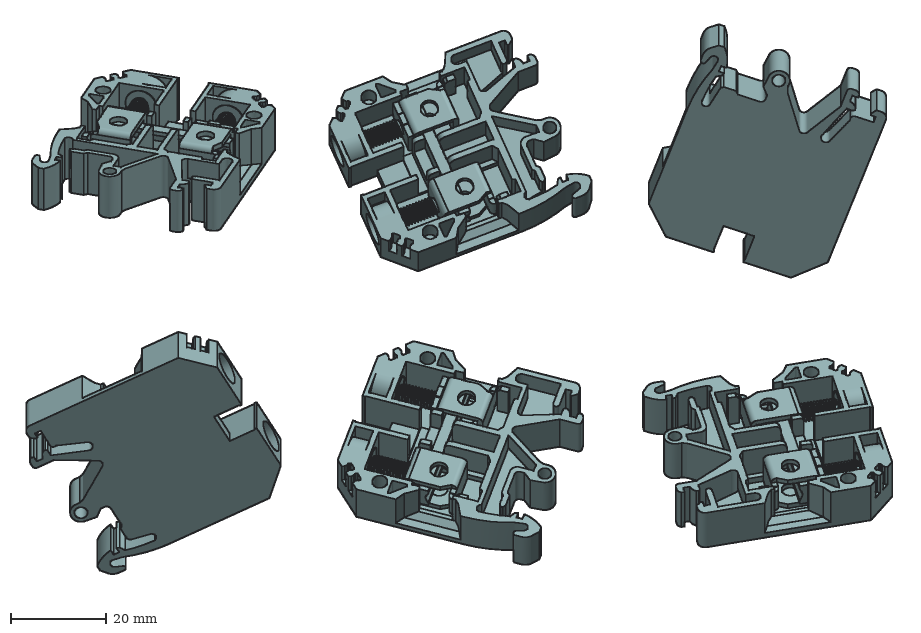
import cadquery as cq


height = 46.02
thickness = 10.0
half_width = 20.05
axis_x = 9.67
axis_z = 5.5

bar_half_length = 14.7
bar_bottom_y = 25.88
bar_top_y = 28.3
bar_half_depth = 2.59
groove_depth = 0.65
groove_half_width = 1.65

sheet = 1.2
bend_radius = 1.25
clamp_bottom_y = 20.15
clamp_top_y = 31.6
clamp_half_depth = 4.06
clamp_inner_x = 5.41
clamp_outer_x = 13.89
clamp_narrow_x = 12.67
clamp_taper_y = 23.5
clamp_seam_y = clamp_top_y - sheet
ear_x = 15.3
ear_round = 1.1
ear_step = 0.2
outer_lap_z = 9.1
tab_width = 2.6
tab_rise = 0.4
inspection_radius = 1.85
inspection_y = 25.04

thread_radius = 2.0
core_radius = 1.6
pitch = 0.7
head_radius = 3.45
head_length = 3.0
head_stand_out = 0.12

floor_z = axis_z - clamp_half_depth
shelf_z = axis_z - bar_half_depth
strip_z = 2.2
foot_web_z = 5.35
gap_half_width = 3.46
gap_floor_y = 39.5
tower_wall_x = 4.6
post_back_y = 31.1
tower_wall_end_y = 33.5
pocket_top_y = 39.93
pocket_side_x = 14.54
wide_pocket_x = 15.38
wide_pocket_top_y = 29.3
pocket_bottom_y = 15.35
pocket_step_y = 14.67
partition_inner_x = 2.2
corner_cut = 6.05


def box(x0, x1, y0, y1, z0, z1):
    return cq.Workplane("XY").box(x1 - x0, y1 - y0, z1 - z0, centered=False).translate((x0, y0, z0))


def prism(points, z0, z1):
    return cq.Workplane("XY").workplane(offset=z0).polyline(points).close().extrude(z1 - z0)


def prism_along_x(points_yz, x0, x1):
    return cq.Workplane("YZ").workplane(offset=x0).polyline(points_yz).close().extrude(x1 - x0)


def cylinder_along_y(radius, x, y0, y1):
    return cq.Workplane("XZ", origin=(x, y0, axis_z)).circle(radius).extrude(y0 - y1)


def both_sides(shape):
    return shape.union(shape.mirror("YZ"))


def housing_blank():
    shoulder_y = height - corner_cut
    shoulder_x = half_width - corner_cut
    eyelet_x, eyelet_y = -4.3, 3.44
    eyelet_radius = 2.32
    hook_x = -21.35
    lip_overhang = 0.16
    lip_slope = 0.12
    lip_x = gap_half_width - lip_overhang
    lip_y = height - 0.5
    outline = (
        cq.Workplane("XY")
        .moveTo(-half_width, shoulder_y)
        .lineTo(-shoulder_x, height)
        .lineTo(-lip_x, height)
        .lineTo(-lip_x, lip_y)
        .lineTo(-gap_half_width, lip_y - lip_slope)
        .lineTo(-gap_half_width, gap_floor_y)
        .lineTo(gap_half_width, gap_floor_y)
        .lineTo(gap_half_width, lip_y - lip_slope)
        .lineTo(lip_x, lip_y)
        .lineTo(lip_x, height)
        .lineTo(shoulder_x, height)
        .lineTo(half_width, shoulder_y)
        .lineTo(half_width, 4.5)
        .threePointArc((19.59, 3.36), (18.45, 2.9))
        .lineTo(17.4, 2.9)
        .lineTo(16.5, 4.1)
        .lineTo(16.65, 4.44)
        .lineTo(17.79, 4.44)
        .lineTo(17.79, 5.79)
        .lineTo(13.54, 5.79)
        .threePointArc((12.97, 6.2), (12.98, 6.9))
        .lineTo(10.6, 13.1)
        .threePointArc((9.3, 13.65), (8.6, 12.5))
        .lineTo(11.37, 4.75)
        .lineTo(12.75, 4.75)
        .lineTo(13.13, 4.4)
        .lineTo(13.05, 3.85)
        .threePointArc((12.35, 3.2), (11.45, 2.9))
        .lineTo(11.45, 1.44)
        .lineTo(12.75, 1.44)
        .lineTo(12.78, 0.75)
        .threePointArc((12.29, 0.21), (11.6, 0.0))
        .lineTo(10.8, 0.0)
        .threePointArc((10.23, 0.23), (10.0, 0.8))
        .lineTo(10.0, 4.66)
        .lineTo(5.5, 12.78)
        .threePointArc((4.6, 13.33), (3.65, 12.78))
        .lineTo(-1.62, 5.41)
        .lineTo(-1.98, 4.4)
        .lineTo(eyelet_x + eyelet_radius, eyelet_y)
        .threePointArc((eyelet_x, eyelet_y - eyelet_radius), (eyelet_x - eyelet_radius, eyelet_y))
        .lineTo(-6.85, 5.87)
        .lineTo(-5.41, 7.6)
        .lineTo(-5.41, 8.45)
        .threePointArc((-5.7, 9.15), (-6.42, 9.45))
        .lineTo(-11.23, 9.45)
        .lineTo(-11.91, 8.8)
        .lineTo(-14.6, 8.8)
        .lineTo(-15.21, 9.25)
        .lineTo(-15.3, 9.8)
        .lineTo(-16.0, 13.8)
        .threePointArc((-16.95, 14.42), (-17.8, 13.72))
        .threePointArc((-17.6, 10.4), (-17.0, 7.09))
        .lineTo(-15.84, 6.4)
        .lineTo(-15.65, 5.74)
        .lineTo(-16.84, 5.74)
        .lineTo(-16.84, 4.44)
        .lineTo(-15.57, 4.4)
        .threePointArc((-16.3, 2.1), (-17.73, 0.0))
        .lineTo(-18.95, 0.0)
        .lineTo(-20.6, 1.33)
        .threePointArc((-21.15, 2.2), (hook_x, 3.2))
        .lineTo(hook_x, 4.55)
        .threePointArc((-20.8, 5.15), (-20.25, 4.8))
        .lineTo(-19.7, 3.3)
        .threePointArc((-18.7, 2.65), (-17.93, 3.7))
        .lineTo(-18.25, 5.7)
        .threePointArc((-19.6, 10.9), (-half_width, 16.1))
        .close()
    )
    blank = outline.extrude(thickness)
    eyelet_bore_radius = 1.38
    eyelet_hole = cq.Workplane("XY").center(eyelet_x, eyelet_y).circle(eyelet_bore_radius).extrude(thickness)
    return blank.cut(eyelet_hole)


def foot_recesses():
    """Front recesses of the foot, open towards the two slots."""
    left = (
        cq.Workplane("XY").workplane(offset=foot_web_z)
        .moveTo(-17.0, 13.7)
        .lineTo(2.84, 13.7)
        .lineTo(-2.71, 5.87)
        .lineTo(-4.3, 5.87)
        .lineTo(-4.3, 8.95)
        .threePointArc((-4.79, 10.12), (-5.96, 10.61))
        .lineTo(-11.78, 10.61)
        .lineTo(-12.24, 10.12)
        .lineTo(-14.62, 10.12)
        .lineTo(-15.25, 9.7)
        .lineTo(-16.0, 11.0)
        .close()
        .extrude(thickness)
    )
    right = (
        cq.Workplane("XY").workplane(offset=foot_web_z)
        .moveTo(9.5, 13.7)
        .lineTo(16.51, 13.7)
        .lineTo(16.51, 15.5)
        .threePointArc((17.66, 16.65), (18.81, 15.5))
        .lineTo(18.81, 7.17)
        .lineTo(13.4, 7.17)
        .lineTo(12.94, 6.9)
        .close()
        .extrude(thickness)
    )
    return left.union(right)


def clamp_pocket():
    """Right-hand pocket for the clamp and the threaded shank."""
    upper = box(tower_wall_x, pocket_side_x, bar_bottom_y, pocket_top_y, floor_z, thickness)
    lower = prism(
        [
            (tower_wall_x, pocket_bottom_y),
            (12.1, pocket_bottom_y),
            (12.45, pocket_step_y),
            (wide_pocket_x, pocket_step_y),
            (wide_pocket_x, wide_pocket_top_y),
            (tower_wall_x, wide_pocket_top_y),
        ],
        floor_z,
        thickness,
    )
    shelf_corner_rise = 0.87
    shelf_corner_y = pocket_bottom_y + shelf_corner_rise
    shelf = prism(
        [
            (gap_half_width, shelf_corner_y),
            (tower_wall_x, pocket_bottom_y),
            (tower_wall_x, bar_bottom_y),
            (gap_half_width, bar_bottom_y),
        ],
        shelf_z,
        thickness,
    )
    return upper.union(lower).union(shelf)


def wire_post():
    """Small sloped post on the pocket floor, below the clamp's lip."""
    x0, x1 = 14.0, 15.2
    front_y = 17.25
    slope_y = 19.05
    back_y = 19.7
    top_z = 9.1
    profile = [
        (front_y, floor_z),
        (front_y, top_z),
        (slope_y, top_z),
        (back_y, top_z - (back_y - slope_y)),
        (back_y, floor_z),
    ]
    return prism_along_x(profile, x0, x1)


def bar_posts():
    """Two posts joined by a low rib, which hold the bus bar on its upper side."""
    bar_clearance = 0.3
    front_y = bar_top_y + bar_clearance
    round_radius = 0.9
    posts = both_sides(box(gap_half_width, tower_wall_x, front_y, post_back_y, strip_z, thickness))
    posts = posts.edges("|X and >Y and >Z").fillet(round_radius)
    rib = box(-gap_half_width, gap_half_width, front_y, post_back_y, strip_z, thickness / 2)
    return posts.union(rib)


def middle_cuts():
    """Gap between the towers, bar channel and the box between the partitions."""
    gap = box(-gap_half_width, gap_half_width, tower_wall_end_y, gap_floor_y, shelf_z, thickness)
    channel = box(-tower_wall_x, tower_wall_x, bar_bottom_y, tower_wall_end_y, shelf_z, thickness)
    strip = box(-tower_wall_x, tower_wall_x, post_back_y, tower_wall_end_y, strip_z, thickness)
    middle_box = box(
        -partition_inner_x, partition_inner_x, pocket_bottom_y, bar_bottom_y, shelf_z, thickness
    )
    round_radius = 1.45
    round_y = bar_bottom_y - round_radius
    corner = box(-gap_half_width, gap_half_width, round_y, bar_bottom_y, thickness - round_radius, thickness)
    rounding = (
        cq.Workplane("YZ", origin=(-gap_half_width, 0, 0))
        .center(round_y, thickness - round_radius)
        .circle(round_radius)
        .extrude(2 * gap_half_width)
    )
    return gap.union(channel).union(strip).union(middle_box).union(corner.cut(rounding))


def wire_entry():
    """Flared opening in the right-hand side wall."""
    sill_z = 1.4
    throat_z = 2.2
    throat_x = 16.3
    flare_x = 18.14
    throat_y0, throat_y1 = 20.03, 27.47
    throat = box(wide_pocket_x, throat_x, throat_y0, throat_y1, throat_z, thickness)
    flare = prism(
        [
            (throat_x, throat_y0),
            (throat_x, 19.33),
            (17.2, 18.46),
            (flare_x, 17.97),
            (half_width, 17.05),
            (half_width, 31.3),
            (flare_x, 30.1),
            (throat_x, throat_y1),
        ],
        sill_z,
        thickness,
    )
    slope = (
        cq.Workplane("XZ")
        .polyline([(throat_x, 0), (flare_x, 0), (flare_x, sill_z), (throat_x, throat_z)])
        .close()
        .extrude(-height)
    )
    return throat.union(flare.cut(slope))


def screw_access():
    """Bore for the screw head, and the window that lays bare half of its sleeve."""
    sleeve_radius = thickness - axis_z
    window_y0, window_y1 = 41.15, 45.05
    bore = cylinder_along_y(head_radius, axis_x, pocket_top_y, height)
    window = box(tower_wall_x, axis_x, window_y0, window_y1, axis_z, thickness)
    window = window.cut(cylinder_along_y(sleeve_radius, axis_x, window_y0, window_y1))
    return bore.union(window)


def marker_notches():
    """Two waisted notches in the bevelled corner, half the thickness deep."""
    notch_z = thickness / 2
    mouth, waist, bulb, end = 0.98, 0.7, 0.93, 0.75
    overshoot = 0.1
    half_profile = [(mouth, -overshoot), (waist, 0.55), (waist, 1.15)]
    half_profile += [(bulb, 1.55), (bulb, 1.8), (end, 2.1)]
    profile = half_profile + [(-w, d) for w, d in reversed(half_profile)]
    spacing = 3.0
    bevel_x = half_width - corner_cut / 2
    bevel_y = height - corner_cut / 2
    notches = cq.Workplane("XY")
    for offset in (-spacing / 2, spacing / 2):
        notch = prism([(offset + w, d) for w, d in profile], notch_z, thickness)
        notch = notch.rotate((0, 0, 0), (0, 0, 1), 135).translate((bevel_x, bevel_y, 0))
        notches = notches.union(notch)
    return notches


def side_holes():
    """Round socket and rounded triangular recess beside the pocket."""
    socket_x, socket_y = 16.73, 35.87
    socket_radius = 1.6
    socket_depth = thickness / 2
    socket = cq.Workplane("XY", origin=(socket_x, socket_y, thickness))
    socket = socket.circle(socket_radius).extrude(-socket_depth)
    triangle_round = 0.35
    triangle = prism([(15.65, 33.49), (19.45, 33.49), (15.65, 29.55)], floor_z, thickness)
    return socket.union(triangle.edges("|Z").fillet(triangle_round))


def make_housing():
    side_cuts = clamp_pocket().union(wire_entry()).union(screw_access())
    side_cuts = side_cuts.union(marker_notches()).union(side_holes())
    body = housing_blank().cut(foot_recesses()).cut(middle_cuts()).cut(both_sides(side_cuts))
    return body.union(both_sides(wire_post())).union(bar_posts())


def make_bus_bar():
    z0 = axis_z - bar_half_depth
    z1 = axis_z + bar_half_depth
    profile = [
        (bar_bottom_y, z0),
        (bar_bottom_y, axis_z - groove_half_width),
        (bar_bottom_y + groove_depth, axis_z),
        (bar_bottom_y, axis_z + groove_half_width),
        (bar_bottom_y, z1),
        (bar_top_y, z1),
        (bar_top_y, z0),
    ]
    return prism_along_x(profile, -bar_half_length, bar_half_length)


def make_clamp():
    """Right-hand clamp: its inner lap hangs from the front plate, its outer lap from the back."""
    z0 = axis_z - clamp_half_depth
    z1 = axis_z + clamp_half_depth
    width = clamp_outer_x - clamp_inner_x
    loop = box(clamp_inner_x, clamp_outer_x, clamp_bottom_y, clamp_seam_y, z0, z1)
    loop = loop.edges("|X").edges("<Y or (>Y and >Z)").fillet(bend_radius)
    outer_lap = box(clamp_inner_x, clamp_outer_x, clamp_seam_y - sheet, clamp_top_y, z0, outer_lap_z)
    outer_lap = outer_lap.edges("|X and >Y and <Z").fillet(bend_radius)
    behind_inner_bend = box(clamp_inner_x, clamp_outer_x, clamp_seam_y - sheet, clamp_seam_y, axis_z, z1)
    outer_lap = outer_lap.cut(behind_inner_bend)
    middle_x = clamp_inner_x + width / 2
    tab = box(
        middle_x - tab_width / 2,
        middle_x + tab_width / 2,
        clamp_seam_y,
        clamp_top_y,
        outer_lap_z - sheet,
        outer_lap_z + tab_rise,
    )
    clamp = loop.union(outer_lap).union(tab)

    plate_taper = prism(
        [
            (clamp_outer_x, clamp_taper_y),
            (clamp_narrow_x, clamp_bottom_y + sheet),
            (clamp_narrow_x, clamp_bottom_y),
            (clamp_outer_x, clamp_bottom_y),
        ],
        z0,
        z1,
    )
    inside = box(
        clamp_inner_x,
        clamp_outer_x,
        clamp_bottom_y + sheet,
        clamp_seam_y - sheet,
        z0 + sheet,
        z1 - sheet,
    )
    lower_wall = box(
        clamp_inner_x, clamp_outer_x, clamp_bottom_y, clamp_bottom_y + sheet, z0 + sheet, z1 - sheet
    )
    ear_z = sheet + ear_step
    ear = box(clamp_narrow_x, ear_x, clamp_bottom_y, clamp_bottom_y + sheet, z0 + ear_z, z1 - ear_z)
    ear = ear.edges("|Z and >X and >Y").fillet(ear_round)
    inspection = (
        cq.Workplane("XY").center(axis_x, inspection_y).circle(inspection_radius).extrude(thickness)
    )
    tapped_hole = cylinder_along_y(core_radius, axis_x, clamp_seam_y - sheet, clamp_top_y)
    return clamp.cut(plate_taper).cut(inside).union(lower_wall).union(ear).cut(inspection).cut(tapped_hole)


def make_screw():
    """Screw along +Y from the bar to the head, on the right-hand axis."""
    head_y = pocket_top_y - head_stand_out
    core = cylinder_along_y(core_radius, axis_x, bar_top_y, head_y)
    head = cylinder_along_y(head_radius, axis_x, head_y, head_y + head_length)

    root = 0.05
    ridge_half_width = pitch * 0.45
    thread_length = head_y - clamp_top_y - 2 * ridge_half_width
    path = cq.Wire.makeHelix(pitch, thread_length, core_radius - root)
    ridge = (
        cq.Workplane("XZ", origin=(core_radius - root, 0, 0))
        .polyline([(0, -ridge_half_width), (thread_radius - core_radius + root, 0), (0, ridge_half_width)])
        .close()
        .sweep(cq.Workplane(obj=path), isFrenet=True)
        .rotate((0, 0, 0), (1, 0, 0), -90)
        .translate((axis_x, clamp_top_y + ridge_half_width, axis_z))
    )
    return core.union(head).union(ridge)


housing = make_housing()
bus_bar = make_bus_bar()
right_clamp = make_clamp()
clamps = [right_clamp, right_clamp.rotate((0, 0, axis_z), (0, 1, axis_z), 180)]
right_screw = make_screw()
screws = [right_screw, right_screw.translate((-2 * axis_x, 0, 0))]

bodies = [housing, bus_bar] + clamps + screws
result = cq.Compound.makeCompound([body.solids().val() for body in bodies])